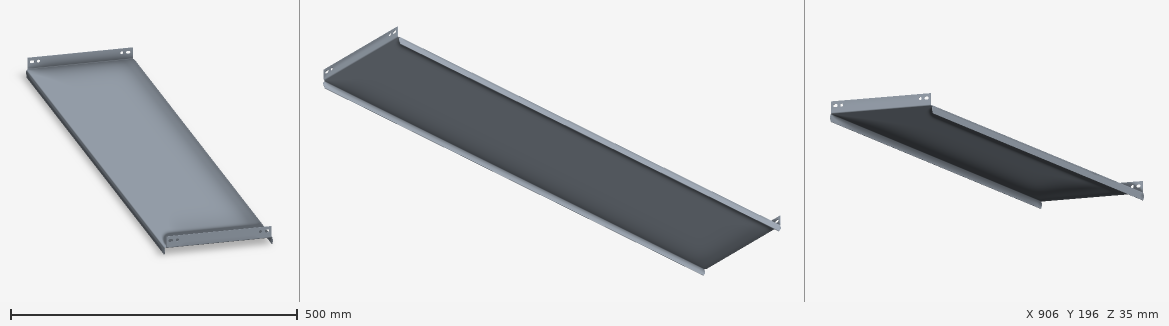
import cadquery as cq

length = 906.0
width = 196.0
height = 35.0

sheet = 1.0
bend_inner = 1.0
bend_outer = bend_inner + sheet

skirt_drop = 14.5
flange_width = 190.0
skirt_length = 903.0
skirt_corner_x = 4.0
skirt_corner_z = 6.0
relief_depth = 4.0
relief_length = 899.0

hole_height = 5.0
slot_width = 8.0
slot_offset = 87.0
round_hole_offset = 75.0
hole_depth_from_top = 8.0

panel_top = skirt_drop
panel_bottom = panel_top - sheet
hole_z = height - hole_depth_from_top


def make_channel(plane, half_span, wall_end_z, direction, depth):
    """U-shaped sheet: a flat web with both edges folded up (+1) or down (-1)."""
    outer_z = panel_bottom if direction > 0 else panel_top
    inner_z = outer_z + direction * sheet
    bend_end_z = outer_z + direction * bend_outer
    inner_span = half_span - sheet
    straight_span = half_span - bend_outer
    diagonal = 0.5 ** 0.5

    def arc_middle(side, radius):
        return (side * (straight_span + radius * diagonal), bend_end_z - direction * radius * diagonal)

    return (
        cq.Workplane(plane)
        .moveTo(-straight_span, outer_z)
        .lineTo(straight_span, outer_z)
        .threePointArc(arc_middle(1, bend_outer), (half_span, bend_end_z))
        .lineTo(half_span, wall_end_z)
        .lineTo(inner_span, wall_end_z)
        .lineTo(inner_span, bend_end_z)
        .threePointArc(arc_middle(1, bend_inner), (straight_span, inner_z))
        .lineTo(-straight_span, inner_z)
        .threePointArc(arc_middle(-1, bend_inner), (-inner_span, bend_end_z))
        .lineTo(-inner_span, wall_end_z)
        .lineTo(-half_span, wall_end_z)
        .lineTo(-half_span, bend_end_z)
        .threePointArc(arc_middle(-1, bend_outer), (-straight_span, outer_z))
        .close()
        .extrude(depth / 2, both=True)
    )


def make_skirts():
    """Panel with folded-down skirts, relieved at the bends and clipped at the lower corners."""
    channel = make_channel("YZ", width / 2, 0, -1, skirt_length)
    half_skirt = skirt_length / 2
    half_relief = relief_length / 2
    relief_z = panel_top - relief_depth
    outline = (
        cq.Workplane("XZ")
        .moveTo(-half_relief, panel_top)
        .lineTo(half_relief, panel_top)
        .lineTo(half_relief, relief_z)
        .lineTo(half_skirt, relief_z)
        .lineTo(half_skirt, skirt_corner_z)
        .lineTo(half_skirt - skirt_corner_x, 0)
        .lineTo(-half_skirt + skirt_corner_x, 0)
        .lineTo(-half_skirt, skirt_corner_z)
        .lineTo(-half_skirt, relief_z)
        .lineTo(-half_relief, relief_z)
        .close()
        .extrude(width / 2, both=True)
    )
    return channel.intersect(outline)


def make_flange_holes():
    """Cutters through both end flanges: an outer slot and an inner round hole at each corner."""
    slots = (
        cq.Workplane("YZ")
        .pushPoints([(-slot_offset, hole_z), (slot_offset, hole_z)])
        .slot2D(slot_width, hole_height)
        .extrude(length / 2, both=True)
    )
    round_holes = (
        cq.Workplane("YZ")
        .pushPoints([(-round_hole_offset, hole_z), (round_hole_offset, hole_z)])
        .circle(hole_height / 2)
        .extrude(length / 2, both=True)
    )
    return slots.union(round_holes)


end_flanges = make_channel("XZ", length / 2, height, 1, flange_width)
result = end_flanges.union(make_skirts()).cut(make_flange_holes())